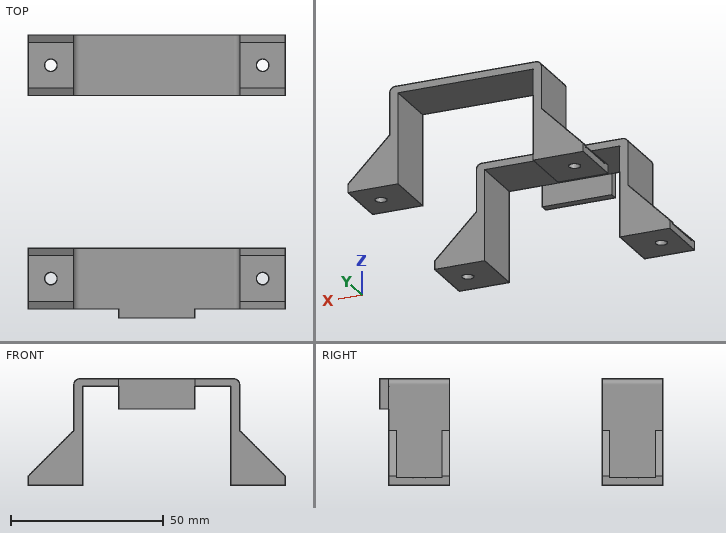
import cadquery as cq

bridge_width = 54.5
bracket_height = 35.0
leg_thickness = 3.0
bridge_thickness = 2.5
corner_radius = 2.0

foot_length = 15.0
foot_thickness = 2.5
hole_diameter = 4.0

gusset_thickness = 2.5
gusset_toe_height = 3.0
gusset_top = gusset_toe_height + foot_length

bracket_depth = 20.0
bracket_gap = 50.0
front_y = 0.0
rear_y = front_y + bracket_depth + bracket_gap

tab_width = 25.0
tab_height = 10.0
tab_thickness = 3.0

leg_outer_x = bridge_width / 2
leg_inner_x = leg_outer_x - leg_thickness
foot_end_x = leg_outer_x + foot_length


def box(x_min, x_max, y_min, y_max, z_min, z_max):
    """Box between the given limits."""
    size = (x_max - x_min, y_max - y_min, z_max - z_min)
    return cq.Workplane("XY").box(*size, centered=False).translate((x_min, y_min, z_min))


def arch():
    """Bridge and two legs, with rounded outer top corners."""
    outer = box(-leg_outer_x, leg_outer_x, 0, bracket_depth, 0, bracket_height)
    outer = outer.edges("|Y and >Z").fillet(corner_radius)
    opening_top = bracket_height - bridge_thickness
    return outer.cut(box(-leg_inner_x, leg_inner_x, 0, bracket_depth, 0, opening_top))


def gusset(y_min):
    """Sloped side wall on the +X foot, starting at y_min."""
    outline = [
        (leg_inner_x, 0),
        (foot_end_x, 0),
        (foot_end_x, gusset_toe_height),
        (leg_outer_x, gusset_top),
        (leg_inner_x, gusset_top),
    ]
    wall = cq.Workplane("XZ").polyline(outline).close().extrude(-gusset_thickness)
    return wall.translate((0, y_min, 0))


def foot():
    """+X foot plate with its screw hole and two gussets."""
    plate = box(leg_inner_x, foot_end_x, 0, bracket_depth, 0, foot_thickness)
    hole_x = leg_outer_x + foot_length / 2
    hole = cq.Workplane("XY").center(hole_x, bracket_depth / 2)
    hole = hole.circle(hole_diameter / 2).extrude(foot_thickness)
    plate = plate.cut(hole)
    for y_min in (0, bracket_depth - gusset_thickness):
        plate = plate.union(gusset(y_min))
    return plate


def plain_bracket():
    """Arch with a foot on each side, its front face at Y = 0."""
    right_foot = foot()
    return arch().union(right_foot).union(right_foot.mirror("YZ"))


def tabbed_bracket():
    """Plain bracket with a stop tab on the middle of its front edge."""
    tab_bottom = bracket_height - tab_height
    tab = box(-tab_width / 2, tab_width / 2, -tab_thickness, 0, tab_bottom, bracket_height)
    return plain_bracket().union(tab)


front_bracket = tabbed_bracket().translate((0, front_y, 0))
rear_bracket = plain_bracket().translate((0, rear_y, 0))

result = cq.Compound.makeCompound([front_bracket.solids().val(), rear_bracket.solids().val()])